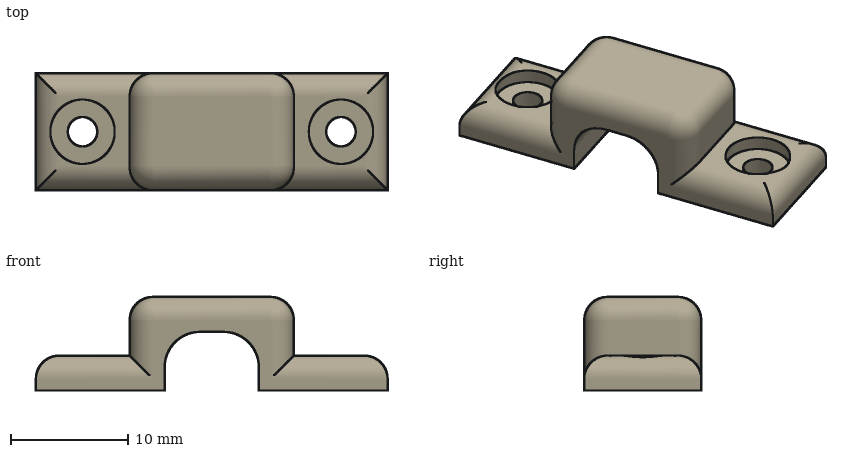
import cadquery as cq

length = 30.0
width = 10.0
height = 8.0

edge_height = 1.0
edge_radius = 2.0
flange_height = edge_height + edge_radius

saddle_length = width + 2 * edge_radius

channel_width = 8.0
channel_height = 5.0
channel_radius = 3.0

hole_diameter = 2.5
counterbore_diameter = 5.5
counterbore_depth = 1.2
hole_offset = 11.0


def base_block(size_x, size_y, size_z):
    """Block centred in X and Y, standing on Z = 0."""
    return cq.Workplane("XY").box(size_x, size_y, size_z, centered=(True, True, False))


def make_flange():
    """Flat plate with all four upper edges rounded and mitred at the corners."""
    return base_block(length, width, flange_height).faces(">Z").edges().fillet(edge_radius)


def make_saddle():
    """Block with rounded upright edges and a rounded top."""
    block = base_block(saddle_length, width, height)
    return block.edges("|Z or >Z").fillet(edge_radius)


def make_channel():
    """Cutter for the channel, with rounded upper corners."""
    block = base_block(channel_width, width, channel_height)
    return block.edges("|Y and >Z").fillet(channel_radius)


body = make_flange().union(make_saddle()).cut(make_channel())

result = (
    body.copyWorkplane(cq.Workplane("XY", origin=(0, 0, flange_height)))
    .pushPoints([(-hole_offset, 0), (hole_offset, 0)])
    .cboreHole(hole_diameter, counterbore_diameter, counterbore_depth)
)